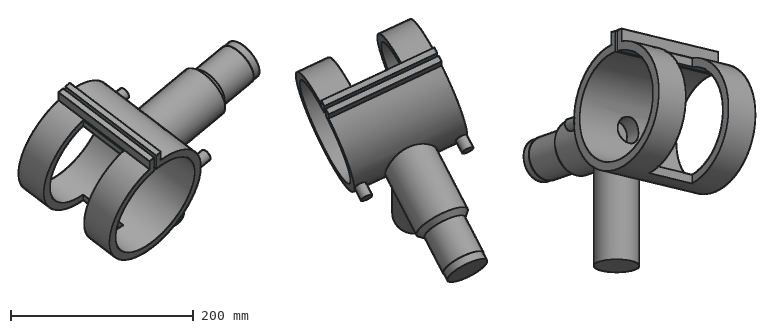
import cadquery as cq

clamp_width = 138.0
ring_radius = 72.5
wall = 10.0
bore_radius = ring_radius - wall

lug_top = 86.5
lugs_thickness = 18.0
slit_width = 3.5

window_width = 60.8
window_back = -10.2

peg_diameter = 14.0
peg_spacing = 123.5
peg_end = 88.1

port_diameter = 29.9

tower_diameter = 63.0
taper_start = 149.8
neck_diameter = 50.0
cap_diameter = 49.0
cap_length = 9.7
overall_length = 284.3
tower_end = overall_length - ring_radius
neck_end = tower_end - cap_length
taper_end = taper_start + (tower_diameter - neck_diameter) / 2
branch_diameter = neck_diameter
branch_y = 82.2
branch_bottom = -150.5


def x_cylinder(radius):
    """Cylinder on the ring axis, as long as the clamp is wide, with its seam at the top."""
    cylinder = cq.Workplane("YZ", origin=(-clamp_width / 2, 0, 0)).circle(radius).extrude(clamp_width)
    return cylinder.rotate((0, 0, 0), (1, 0, 0), 90)


def y_cylinder(diameter, start, end, x=0):
    """Cylinder along +Y between two Y positions."""
    return cq.Workplane("XZ", origin=(x, start, 0)).circle(diameter / 2).extrude(start - end)


def top_bar(thickness):
    """Bar over the whole clamp width, rising from the ring axis to the lug tops."""
    return cq.Workplane("XY").box(clamp_width, thickness, lug_top, centered=(True, True, False))


def make_tower():
    profile = (
        cq.Workplane("YZ")
        .lineTo(0, tower_diameter / 2)
        .lineTo(taper_start, tower_diameter / 2)
        .lineTo(taper_end, neck_diameter / 2)
        .lineTo(neck_end, neck_diameter / 2)
        .lineTo(neck_end, 0)
        .close()
    )
    return profile.revolve(360, (0, 0, 0), (1, 0, 0))


def make_branch():
    return cq.Workplane("XY").center(0, branch_y).circle(branch_diameter / 2).extrude(branch_bottom)


def make_window():
    block = cq.Workplane("XY").box(window_width, ring_radius, 2 * ring_radius)
    return block.translate((0, window_back - ring_radius / 2, 0))


def make_saddle():
    """Clamp ring with its lugs and pegs, carrying the tower and the branch."""
    saddle = x_cylinder(ring_radius).union(top_bar(lugs_thickness))
    saddle = saddle.union(make_tower()).union(make_branch())
    for side in (-1, 1):
        saddle = saddle.union(y_cylinder(peg_diameter, 0, peg_end, side * peg_spacing / 2))
    saddle = saddle.cut(x_cylinder(bore_radius))
    saddle = saddle.cut(top_bar(slit_width)).cut(make_window())
    return saddle.cut(y_cylinder(port_diameter, 0, branch_y))


def make_cap():
    """Closing disc seated on the end of the neck."""
    return y_cylinder(cap_diameter, neck_end, tower_end)


saddle = make_saddle()
cap = make_cap()
result = cq.Compound.makeCompound([saddle.solids().val(), cap.val()])